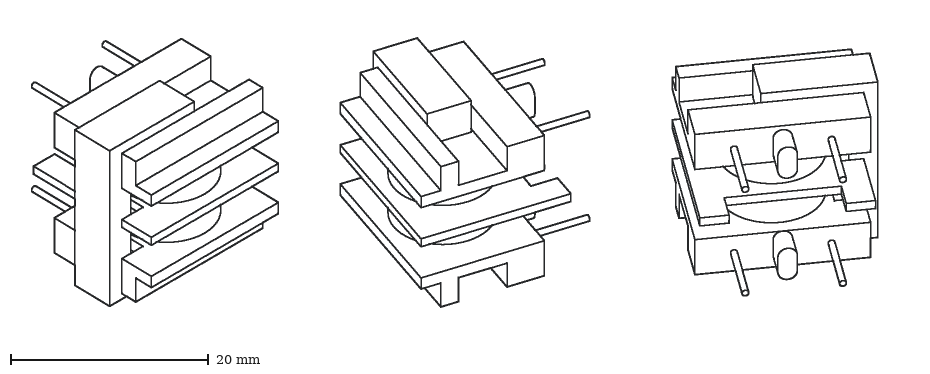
import cadquery as cq


former_width = 18.0
former_end_x = 7.0
end_plate_inner_z = 4.4
end_plate_outer_z = 5.8
middle_plate_thickness = 1.0
middle_plate_start_x = -10.0
middle_notch_width = 12.0

channel_half_width = 2.75
channel_slot_depth = 3.0

block_top_z = 8.8
wall_thickness = 2.0

spacer_length = 3.0
spacer_width = 2.0
spacer_height = 3.9
spacer_z = 6.35
pin_length = 7.0
pin_diameter = 0.7
pin_pitch_y = 10.0
pin_z = 6.5

winding_diameter = 11.0

core_width = 5.0
core_height = 19.5
core_back_y = -10.5
core_arm_end_y = 1.5
core_back_thickness = 3.0

former_front_y = -former_width / 2
former_back_y = former_width / 2


def box(x_start, x_end, y_start, y_end, z_start, z_end):
    """Axis-aligned box between two opposite corners."""
    size = (x_end - x_start, y_end - y_start, z_end - z_start)
    return cq.Workplane("XY").box(*size, centered=False).translate((x_start, y_start, z_start))


def former_bar(x_start, x_end, z_start, z_end):
    """Box over the full former width."""
    return box(x_start, x_end, former_front_y, former_back_y, z_start, z_end)


def cut_core_slot(plate):
    """Open the -Y edge of a plate where the back of the core passes."""
    slot = box(
        -channel_half_width, channel_half_width,
        former_front_y, former_front_y + channel_slot_depth,
        -core_height / 2, core_height / 2,
    )
    return plate.cut(slot)


def make_spacer():
    """Rounded stand-off on the -X face of the upper terminal block."""
    return (
        cq.Workplane("YZ", origin=(-former_end_x, 0, spacer_z))
        .slot2D(spacer_height, spacer_width, 90)
        .extrude(-spacer_length)
    )


def make_pins():
    """Pair of terminal pins on the -X face of the upper terminal block."""
    return (
        cq.Workplane("YZ", origin=(-former_end_x, 0, pin_z))
        .pushPoints([(-pin_pitch_y / 2, 0), (pin_pitch_y / 2, 0)])
        .circle(pin_diameter / 2)
        .extrude(-pin_length)
    )


def make_upper_end():
    """End plate with its terminal block, wall, spacer and pins."""
    plate = former_bar(-former_end_x, former_end_x, end_plate_inner_z, end_plate_outer_z)
    block = former_bar(-former_end_x, -channel_half_width, end_plate_inner_z, block_top_z)
    wall_end_x = channel_half_width + wall_thickness
    wall = former_bar(channel_half_width, wall_end_x, end_plate_inner_z, block_top_z)
    end = cut_core_slot(plate).union(block).union(wall)
    return end.union(make_spacer()).union(make_pins())


def make_lower_end():
    """The lower end is the mirror image of the upper one."""
    return make_upper_end().mirror("XY")


def make_middle_plate():
    """Divider halfway up the winding, notched on its -X edge."""
    half_thickness = middle_plate_thickness / 2
    plate = former_bar(middle_plate_start_x, former_end_x, -half_thickness, half_thickness)
    notch = box(
        middle_plate_start_x, -former_end_x,
        -middle_notch_width / 2, middle_notch_width / 2,
        -half_thickness, half_thickness,
    )
    return cut_core_slot(plate.cut(notch))


def make_winding():
    """Round winding between the two end plates."""
    return (
        cq.Workplane("XY", origin=(0, 0, -end_plate_inner_z))
        .circle(winding_diameter / 2)
        .extrude(2 * end_plate_inner_z)
    )


def make_core():
    """C-shaped core whose arms rest on the outer faces of the end plates."""
    half_height = core_height / 2
    half_width = core_width / 2
    body = box(-half_width, half_width, core_back_y, core_arm_end_y, -half_height, half_height)
    window = box(
        -half_width, half_width,
        core_back_y + core_back_thickness, core_arm_end_y,
        -end_plate_outer_z, end_plate_outer_z,
    )
    return body.cut(window)


result = (
    make_winding()
    .union(make_middle_plate())
    .union(make_upper_end())
    .union(make_lower_end())
    .union(make_core())
)